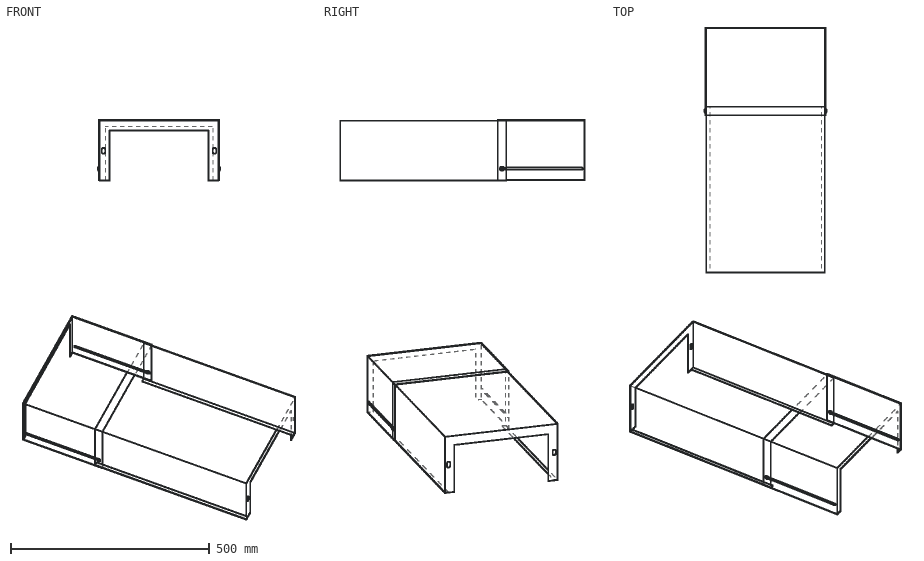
import cadquery as cq

MAIN_WIDTH = 300.5
MAIN_LENGTH = 419.0
MAIN_SHEET = 1.0
FRONT_FLANGE = 25.5
BOTTOM_FLANGE = 10.0

SLIDER_SHEET = 1.5
SLIDER_LENGTH = 220.0
REAR_FLANGE = 15.5
SLIDER_BOTTOM = 1.0

TOTAL_LENGTH = 618.0
TOTAL_HEIGHT = 153.0
TOTAL_WIDTH = 309.5

MOUNT_SLOT_WIDTH = 8.0
MOUNT_SLOT_HEIGHT = 15.5
MOUNT_SLOT_X = 140.0
MOUNT_SLOT_Z = 75.5

SCREW_Z = 30.0
SHANK_DIAMETER = 5.0
HEAD_DIAMETER = 10.5
HEAD_TOP_DIAMETER = 4.5
DOME_MID_FRACTION = 0.6
SOCKET_ACROSS_CORNERS = 3.0
SOCKET_DEPTH = 2.0
GUIDE_SLOT_END_GAP = 6.0

MAIN_HEIGHT = TOTAL_HEIGHT - SLIDER_SHEET
SLIDER_WIDTH = MAIN_WIDTH + 2 * SLIDER_SHEET
SLIDER_FRONT_Y = TOTAL_LENGTH - SLIDER_LENGTH
SCREW_Y = (SLIDER_FRONT_Y + MAIN_LENGTH) / 2
SHANK_END_X = MAIN_WIDTH / 2 - MAIN_SHEET
HEAD_SEAT_X = SLIDER_WIDTH / 2
HEAD_HEIGHT = TOTAL_WIDTH / 2 - HEAD_SEAT_X
SIDES = (-1, 1)


def block(width, y_start, y_end, z_start, z_end):
    """Box centred on x = 0."""
    size = (width, y_end - y_start, z_end - z_start)
    return cq.Workplane("XY", origin=(0, y_start, z_start)).box(*size, centered=(True, False, False))


def make_main_cover():
    cover = block(MAIN_WIDTH, 0, MAIN_LENGTH, 0, MAIN_HEIGHT)
    cover = cover.cut(
        block(MAIN_WIDTH - 2 * MAIN_SHEET, MAIN_SHEET, MAIN_LENGTH, MAIN_SHEET, MAIN_HEIGHT - MAIN_SHEET)
    )
    cover = cover.cut(block(MAIN_WIDTH - 2 * BOTTOM_FLANGE, MAIN_SHEET, MAIN_LENGTH, 0, MAIN_SHEET))
    cover = cover.cut(block(MAIN_WIDTH - 2 * FRONT_FLANGE, 0, MAIN_SHEET, 0, MAIN_HEIGHT - FRONT_FLANGE))
    mount_slots = (
        cq.Workplane("XZ")
        .pushPoints([(side * MOUNT_SLOT_X, MOUNT_SLOT_Z) for side in SIDES])
        .slot2D(MOUNT_SLOT_HEIGHT, MOUNT_SLOT_WIDTH, 90)
        .extrude(-MAIN_SHEET)
    )
    screw_holes = (
        cq.Workplane("YZ")
        .center(SCREW_Y, SCREW_Z)
        .circle(SHANK_DIAMETER / 2)
        .extrude(MAIN_WIDTH / 2, both=True)
    )
    return cover.cut(mount_slots).cut(screw_holes)


def make_slider():
    slider = block(SLIDER_WIDTH, SLIDER_FRONT_Y, TOTAL_LENGTH, SLIDER_BOTTOM, TOTAL_HEIGHT)
    slider = slider.cut(
        block(MAIN_WIDTH, SLIDER_FRONT_Y, TOTAL_LENGTH - SLIDER_SHEET, SLIDER_BOTTOM, MAIN_HEIGHT)
    )
    slider = slider.cut(
        block(
            SLIDER_WIDTH - 2 * REAR_FLANGE,
            TOTAL_LENGTH - SLIDER_SHEET,
            TOTAL_LENGTH,
            SLIDER_BOTTOM,
            TOTAL_HEIGHT - REAR_FLANGE,
        )
    )
    slot_front_y = SCREW_Y - SHANK_DIAMETER / 2
    slot_rear_y = TOTAL_LENGTH - GUIDE_SLOT_END_GAP
    guide_slots = (
        cq.Workplane("YZ")
        .center((slot_front_y + slot_rear_y) / 2, SCREW_Z)
        .slot2D(slot_rear_y - slot_front_y, SHANK_DIAMETER)
        .extrude(SLIDER_WIDTH / 2, both=True)
    )
    return slider.cut(guide_slots)


def make_screw(side):
    """Domed screw with a hexagon socket, pointing inwards from the wall on the given side."""
    head_edge = HEAD_DIAMETER / 2
    head_top = HEAD_TOP_DIAMETER / 2
    head_outer_x = HEAD_SEAT_X + HEAD_HEIGHT
    dome_mid = (
        HEAD_SEAT_X + DOME_MID_FRACTION * HEAD_HEIGHT,
        head_top + DOME_MID_FRACTION * (head_edge - head_top),
    )
    profile = (
        cq.Workplane("XY")
        .moveTo(SHANK_END_X, 0)
        .lineTo(SHANK_END_X, SHANK_DIAMETER / 2)
        .lineTo(HEAD_SEAT_X, SHANK_DIAMETER / 2)
        .lineTo(HEAD_SEAT_X, head_edge)
        .threePointArc(dome_mid, (head_outer_x, head_top))
        .lineTo(head_outer_x, 0)
        .close()
    )
    screw = profile.revolve(360, (0, 0, 0), (1, 0, 0))
    socket = (
        cq.Workplane("YZ", origin=(head_outer_x - SOCKET_DEPTH, 0, 0))
        .polygon(6, SOCKET_ACROSS_CORNERS)
        .extrude(SOCKET_DEPTH)
    )
    screw = screw.cut(socket)
    if side < 0:
        screw = screw.mirror("YZ")
    return screw.translate((0, SCREW_Y, SCREW_Z))


main_cover = make_main_cover()
slider = make_slider()
screws = [make_screw(side).val() for side in SIDES]

result = cq.Compound.makeCompound([main_cover.val(), slider.val(), *screws])